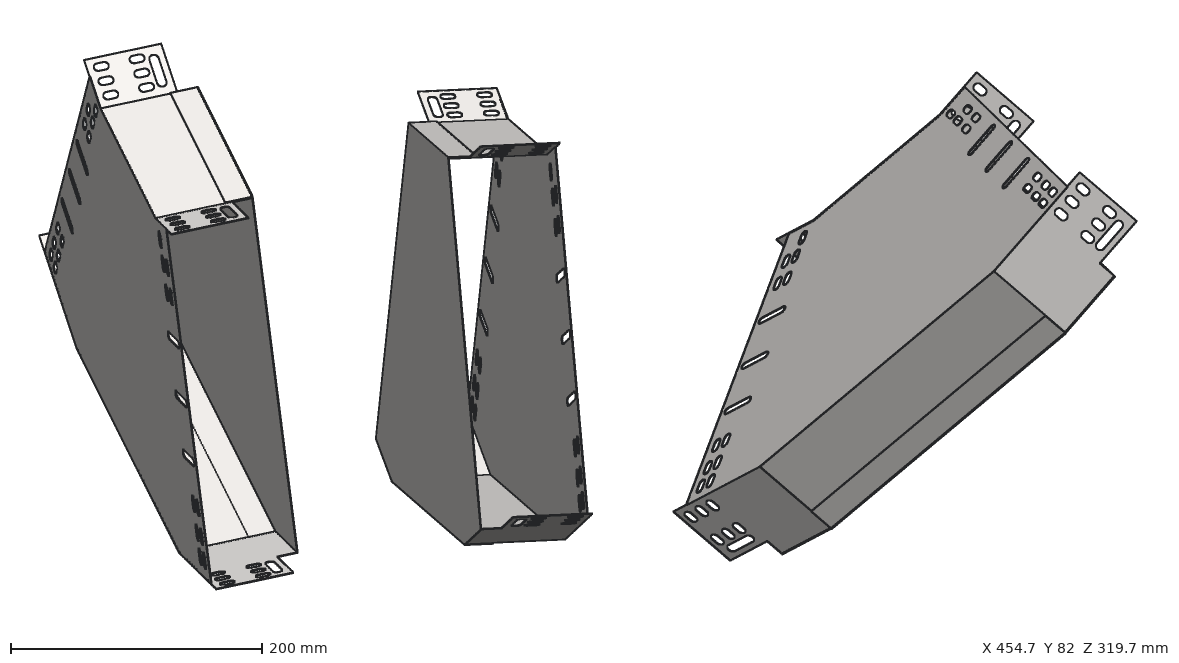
import cadquery as cq
import math

WIDTH = 454.7
DEPTH = 82.0
SHEET = 0.8
TILT = 22.5

TRAY_WIDTH = 302.0
LOWER_FLAT = 262.0
UPPER_FLAT = 141.0
TAB_HEIGHT = 64.5
TAB_OVERHANG = 15.0

SLOT_WIDTH = 7.0
TAB_SLOT_LENGTH = 12.5
TAB_SLOT_SETBACKS = (8.5, 22.0, 35.0)
TAB_SLOT_HEIGHTS = (12.0, 42.0)
TAB_LONG_SLOT_LENGTH = 29.0
TAB_LONG_SLOT_HEIGHT = 55.0
TAB_LONG_SLOT_SETBACK = 22.7
TAB_LONG_SLOT_WIDTH = 7.7

BASE_SLOT_INSETS = (11.5, 23.0)
BASE_SLOT_SETBACKS = (16.5, 37.0, 61.5)
BASE_SLOT_LENGTH = 14.0
BASE_LONG_SLOT_INSET = 21.0
BASE_LONG_SLOT_LENGTH = 32.0
BASE_LONG_SLOT_PITCH = 50.0

FLANGE_DEPTH = 23.0

COS = math.cos(math.radians(TILT))
SIN = math.sin(math.radians(TILT))
LOWER_BEND = (LOWER_FLAT / 2, SHEET)
UPPER_BEND = (
    UPPER_FLAT / 2,
    SHEET + (TRAY_WIDTH - (LOWER_FLAT - UPPER_FLAT) / 2 * SIN) / COS,
)


def to_end_frame(point):
    """Return (outward, across) coordinates in the frame of the +X open end."""
    x, z = point
    return x * COS + z * SIN, z * COS - x * SIN


def from_end_frame(outward, across):
    """Return the (x, z) point for coordinates in the frame of the +X open end."""
    return outward * COS - across * SIN, outward * SIN + across * COS


LOWER_BEND_OUT, LOWER_ACROSS = to_end_frame(LOWER_BEND)
UPPER_BEND_OUT, UPPER_ACROSS = to_end_frame(UPPER_BEND)
TAB_END = LOWER_BEND_OUT + (WIDTH / 2 - LOWER_BEND[0]) / COS
BASE_END = TAB_END - TAB_OVERHANG
TAB_START = UPPER_BEND_OUT
COVER_END = UPPER_BEND_OUT


def symmetric_prism(half_outline, y_start, y_end):
    """Extrude along Y the outline made of right-hand points and their mirror images."""
    mirrored = [(-x, z) for x, z in reversed(half_outline)]
    outline = cq.Workplane("XZ", origin=(0, y_start, 0)).polyline(half_outline + mirrored)
    return outline.close().extrude(y_start - y_end)


def at_both_ends(end_shape):
    """Turn a shape from the end frame to the +X end and pair it with its mirror image."""
    right = end_shape.rotate((0, 0, 0), (0, 1, 0), -TILT)
    return right.add(right.mirror("YZ").vals())


def bent_wall(bend, inward):
    """Wall strip whose ends bend up; inward is +1 or -1, the Z side of the outer face that is metal."""
    across = to_end_frame(bend)[1]
    miter_shift = SHEET * math.tan(math.radians(TILT / 2))
    inner_bend = (bend[0] - inward * miter_shift, bend[1] + inward * SHEET)
    outline = [
        bend,
        from_end_frame(TAB_END, across),
        from_end_frame(TAB_END, across + inward * SHEET),
        inner_bend,
    ]
    return symmetric_prism(outline, 0, DEPTH - SHEET)


def base_plate():
    """Flat base that stops short of the tab ends."""
    outline = [
        LOWER_BEND,
        from_end_frame(BASE_END, LOWER_ACROSS),
        from_end_frame(BASE_END, UPPER_ACROSS),
        UPPER_BEND,
    ]
    return symmetric_prism(outline, 0, SHEET)


def tab_notches():
    """Space above the splice tabs, in the end frame."""
    margin = SHEET
    return cq.Workplane("XY").box(
        TAB_END - TAB_START + margin, DEPTH - TAB_HEIGHT, TRAY_WIDTH + 2 * margin, centered=False
    ).translate((TAB_START, TAB_HEIGHT, LOWER_ACROSS - margin))


def tab_slots():
    """Slot cutters that pass through both walls, in the end frame."""
    margin = SHEET
    plane = cq.Workplane("XY", origin=(0, 0, LOWER_ACROSS - margin))
    cut_length = TRAY_WIDTH + 2 * margin
    short_centers = [
        (TAB_END - setback, height) for setback in TAB_SLOT_SETBACKS for height in TAB_SLOT_HEIGHTS
    ]
    long_center = (TAB_END - TAB_LONG_SLOT_SETBACK, TAB_LONG_SLOT_HEIGHT)
    short = plane.pushPoints(short_centers).slot2D(TAB_SLOT_LENGTH, SLOT_WIDTH, 90).extrude(cut_length)
    long = plane.center(*long_center).slot2D(TAB_LONG_SLOT_LENGTH, TAB_LONG_SLOT_WIDTH).extrude(cut_length)
    return short.add(long.vals())


def base_slots():
    """Slot cutters that pass through the base only, in the end frame."""
    plane = cq.Workplane("XZ")
    middle = (LOWER_ACROSS + UPPER_ACROSS) / 2
    short_centers = []
    for inset in BASE_SLOT_INSETS:
        for setback in BASE_SLOT_SETBACKS:
            short_centers.append((BASE_END - inset, LOWER_ACROSS + setback))
            if (inset, setback) != (BASE_SLOT_INSETS[0], BASE_SLOT_SETBACKS[0]):
                short_centers.append((BASE_END - inset, UPPER_ACROSS - setback))
    long_centers = [
        (BASE_END - BASE_LONG_SLOT_INSET, middle + step * BASE_LONG_SLOT_PITCH) for step in (-1, 0, 1)
    ]
    short = plane.pushPoints(short_centers).slot2D(BASE_SLOT_LENGTH, SLOT_WIDTH, 90).extrude(-SHEET)
    long = plane.pushPoints(long_centers).slot2D(BASE_LONG_SLOT_LENGTH, SLOT_WIDTH).extrude(-SHEET)
    return short.add(long.vals())


def make_tray():
    """Base and two bent walls in one piece, with splice tabs and slots at both open ends."""
    tray = base_plate().union(bent_wall(LOWER_BEND, 1)).union(bent_wall(UPPER_BEND, -1))
    for cutters in (tab_notches(), tab_slots(), base_slots()):
        for cutter in at_both_ends(cutters).vals():
            tray = tray.cut(cq.Workplane(cutter))
    return tray


def make_cover():
    """Flat plate on the wall edges with a flange over the flat of each wall."""
    plate_outline = [
        LOWER_BEND,
        from_end_frame(COVER_END, LOWER_ACROSS),
        UPPER_BEND,
    ]
    cover = symmetric_prism(plate_outline, DEPTH - SHEET, DEPTH)
    for bend, outward in ((LOWER_BEND, -1), (UPPER_BEND, 1)):
        flange_outline = [bend, (bend[0], bend[1] + outward * SHEET)]
        cover = cover.union(symmetric_prism(flange_outline, DEPTH - FLANGE_DEPTH, DEPTH))
    return cover


tray = make_tray()
cover = make_cover()
result = cq.Compound.makeCompound([tray.val(), cover.val()])